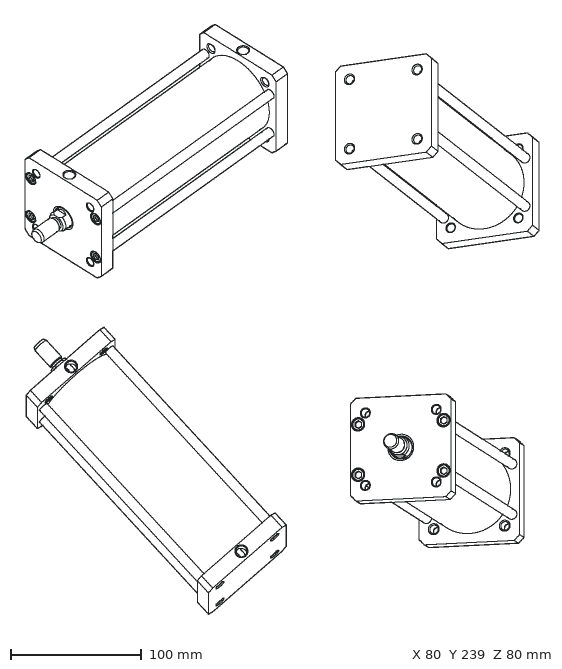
import cadquery as cq
import math

total_length = 239.0
rod_stickout = 29.9
rear_face = total_length - rod_stickout

plate_width = 80.0
plate_thickness = 13.0
corner_chamfer = 4.3
rear_plate_start = rear_face - plate_thickness

tube_diameter = 66.0
tube_bore = 63.0

tie_x = 34.0
tie_z = 19.5
tie_positions = [(x, z) for x in (-tie_x, tie_x) for z in (-tie_z, tie_z)]
tie_diameter = 8.0
tie_end_depth = plate_thickness / 2
head_diameter = 8.5
head_recess = 0.5
head_length = 6.5
head_bore = 10.0
head_bore_rim = 10.5
socket_flats = 5.0
socket_depth = 1.7

mount_offset = 28.2
mount_positions = [(x, z) for x in (-mount_offset, mount_offset) for z in (-mount_offset, mount_offset)]
mount_hole = 6.7
front_mount_rim = 8.0
rear_mount_rim = 8.5

port_diameter = 8.5
port_rim = 10.0
port_depth = 9.5
port_from_inner_face = 6.0
drill_half_angle = math.radians(59)
bar_diameter = 4.0

seal_rim = 20.5
seal_recess_depth = 0.5
rod_bore_rim = 18.0
rod_bore_entry = 17.7
rod_bore_entry_depth = 2.5

rod_diameter = 16.5
collar_length = 8.0
collar_end_diameter = 14.3
collar_chamfer_length = 2.2
flat_width = 13.9
flat_runout_gap = 0.5
neck_diameter = 10.0
neck_length = 2.0
thread_chamfer_length = 0.7
thread_diameter = 12.0
tip_diameter = 10.0
tip_chamfer_length = 2.2


def frustum(start_diameter, end_diameter, y_start, y_end, x=0.0, z=0.0):
    """Cone frustum along Y; an end diameter of zero gives a full cone."""
    start = cq.Vector(x, y_start, z)
    along_y = cq.Vector(0, 1, 0)
    cone = cq.Solid.makeCone(start_diameter / 2, end_diameter / 2, y_end - y_start, start, along_y)
    return cq.Workplane(cone)


def cylinder(diameter, y_start, y_end, x=0.0, z=0.0):
    """Cylinder along Y."""
    base = cq.Plane(origin=(x, y_start, z), xDir=(1, 0, 0), normal=(0, 1, 0))
    return cq.Workplane(base).circle(diameter / 2).extrude(y_end - y_start)


def chamfered_hole(diameter, rim_diameter, y_end, x=0.0, z=0.0, y_start=0.0):
    """Cutter for a hole with a 45 degree rim where it starts."""
    rim_depth = (rim_diameter - diameter) / 2
    rim = frustum(rim_diameter, diameter, y_start, y_start + rim_depth, x, z)
    return cylinder(diameter, y_start, y_end, x, z).union(rim)


def cut_mounting_holes(plate, y_start, mount_rim):
    y_end = y_start + plate_thickness
    rim_depth = (mount_rim - mount_hole) / 2
    for x, z in mount_positions:
        plate = plate.cut(chamfered_hole(mount_hole, mount_rim, y_end, x, z, y_start))
        plate = plate.cut(frustum(mount_hole, mount_rim, y_end - rim_depth, y_end, x, z))
    return plate


def add_port(plate, port_y):
    top = plate_width / 2
    radius = port_diameter / 2
    rim_radius = port_rim / 2
    floor_z = top - port_depth
    tip_z = floor_z - radius / math.tan(drill_half_angle)
    profile = [
        (0, tip_z),
        (radius, floor_z),
        (radius, top - (rim_radius - radius)),
        (rim_radius, top),
        (0, top),
    ]
    port = cq.Workplane("XZ").polyline(profile).close().revolve(360, (0, 0, 0), (0, 1, 0))
    bar = cylinder(bar_diameter, port_y - radius, port_y + radius, z=floor_z)
    return plate.cut(port.translate((0, port_y, 0))).union(bar)


def make_plate(y_start, port_y, mount_rim):
    plate = cq.Workplane("XY").box(plate_width, plate_thickness, plate_width)
    plate = plate.edges("|Y").chamfer(corner_chamfer)
    plate = plate.translate((0, y_start + plate_thickness / 2, 0))
    plate = cut_mounting_holes(plate, y_start, mount_rim)
    return add_port(plate, port_y)


def make_front_plate():
    plate = make_plate(0, plate_thickness - port_from_inner_face, front_mount_rim)
    for x, z in tie_positions:
        plate = plate.cut(cylinder(tie_diameter, 0, plate_thickness, x, z))
        plate = plate.cut(chamfered_hole(head_bore, head_bore_rim, head_recess + head_length, x, z))
    plate = plate.cut(cylinder(rod_diameter, 0, plate_thickness))
    plate = plate.cut(frustum(seal_rim, rod_bore_rim, 0, seal_recess_depth))
    return plate.cut(cylinder(rod_bore_entry, 0, rod_bore_entry_depth))


def make_rear_plate():
    plate = make_plate(rear_plate_start, rear_plate_start + port_from_inner_face, rear_mount_rim)
    for x, z in tie_positions:
        hole = cylinder(tie_diameter, rear_plate_start, rear_plate_start + tie_end_depth, x, z)
        plate = plate.cut(hole)
    return plate


def make_tube():
    outside = cylinder(tube_diameter, plate_thickness, rear_plate_start)
    return outside.cut(cylinder(tube_bore, plate_thickness, rear_plate_start))


def make_tie_rod(x, z):
    rod = cylinder(tie_diameter, head_recess, rear_plate_start + tie_end_depth, x, z)
    head = cylinder(head_diameter, head_recess, head_recess + head_length, x, z)
    rod = rod.union(head)

    socket_end = head_recess + socket_depth
    face = cq.Plane(origin=(x, head_recess, z), xDir=(1, 0, 0), normal=(0, 1, 0))
    socket = cq.Workplane(face).polygon(6, socket_flats, circumscribed=True).extrude(socket_depth)
    cone_depth = socket_flats / 2 / math.tan(drill_half_angle)
    floor_cone = frustum(socket_flats, 0, socket_end, socket_end + cone_depth, x, z)
    return rod.cut(socket).cut(floor_cone)


def make_flat_cutter():
    """Cutter above the upper flat, with a 45 degree run-out near the plate."""
    rod_radius = rod_diameter / 2
    flat_z = flat_width / 2
    runout = rod_radius - flat_z
    profile = [
        (-collar_length, flat_z),
        (-flat_runout_gap - runout, flat_z),
        (-flat_runout_gap, rod_radius),
        (-collar_length, rod_radius),
    ]
    return cq.Workplane("YZ").polyline(profile).close().extrude(rod_radius, both=True)


def make_piston_rod():
    rod_radius = rod_diameter / 2
    neck_radius = neck_diameter / 2
    thread_radius = thread_diameter / 2
    collar_end = -collar_length
    neck_end = collar_end - neck_length
    thread_start = neck_end - thread_chamfer_length
    tip = -rod_stickout
    profile = [
        (0, rear_plate_start),
        (rod_radius, rear_plate_start),
        (rod_radius, collar_end + collar_chamfer_length),
        (collar_end_diameter / 2, collar_end),
        (neck_radius, collar_end),
        (neck_radius, neck_end),
        (thread_radius, thread_start),
        (thread_radius, tip + tip_chamfer_length),
        (tip_diameter / 2, tip),
        (0, tip),
    ]
    rod = cq.Workplane("XY").polyline(profile).close().revolve(360, (0, 0, 0), (0, 1, 0))
    upper_flat = make_flat_cutter()
    return rod.cut(upper_flat).cut(upper_flat.mirror("XY"))


front_plate = make_front_plate()
rear_plate = make_rear_plate()
tube = make_tube()
piston_rod = make_piston_rod()
tie_rods = [make_tie_rod(x, z) for x, z in tie_positions]

result = cq.Compound.makeCompound(
    [
        front_plate.val(),
        rear_plate.val(),
        tube.val(),
        piston_rod.val(),
        *[tie_rod.val() for tie_rod in tie_rods],
    ]
)